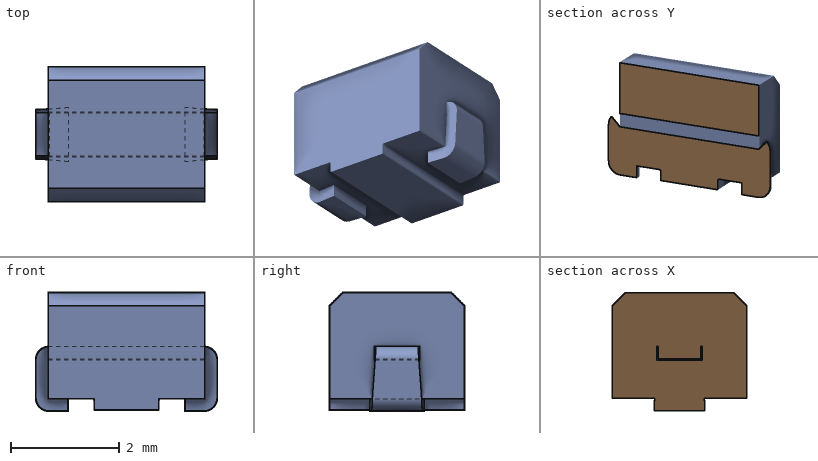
import cadquery as cq
import math

body_length = 2.9
body_width = 2.5
body_top = 2.2
roof_chamfer = 0.25
pedestal_length = 1.2
pedestal_bottom = 0.02
edge_radius = 0.02

overall_length = 3.36
strip_thickness = (overall_length - body_length) / 2
bend_inner_radius = edge_radius
bend_outer_radius = bend_inner_radius + strip_thickness
strip_top = 1.2
foot_length = 0.6

slot_width = 0.84
strip_width = 0.8
leg_top_width = 0.81
leg_bottom_width = 0.91
foot_root_width = 0.94
foot_tip_width = 1.0

body_end = body_length / 2
body_bottom = strip_thickness
lead_end = overall_length / 2
bend_x = lead_end - bend_outer_radius
foot_tip_x = lead_end - foot_length
upper_bend_z = strip_top - bend_outer_radius
lower_bend_z = bend_outer_radius
taper_start_angle = 45


def make_body():
    """Block with chamfered long roof edges, a central pedestal and a through slot for the strip."""
    half_pedestal = pedestal_length / 2
    block = (
        cq.Workplane("XZ")
        .moveTo(-body_end, body_top)
        .lineTo(-body_end, body_bottom)
        .lineTo(-half_pedestal, body_bottom)
        .lineTo(-half_pedestal, pedestal_bottom)
        .lineTo(half_pedestal, pedestal_bottom)
        .lineTo(half_pedestal, body_bottom)
        .lineTo(body_end, body_bottom)
        .lineTo(body_end, body_top)
        .close()
        .extrude(body_width / 2, both=True)
    )
    body = block.edges("|Y").edges("not >Z").fillet(edge_radius)
    body = body.faces(">Z").edges("|X").chamfer(roof_chamfer)
    slot_height = strip_top - upper_bend_z
    slot = cq.Workplane("XY").box(body_length, slot_width, slot_height, centered=(True, True, False))
    return body.cut(slot.translate((0, 0, upper_bend_z)))


def tapered_bar(start, direction, normal, length, start_width, end_width):
    """Flat bar of strip thickness along direction, its width changing steadily from end to end."""
    plane = cq.Plane(origin=start, xDir=direction, normal=normal)
    outline = [
        (0, -start_width / 2),
        (length, -end_width / 2),
        (length, end_width / 2),
        (0, start_width / 2),
    ]
    return cq.Workplane(plane).polyline(outline).close().extrude(strip_thickness)


def radial_edge(center_z, angle, side, width):
    """Ends of a line on one side of the lead, running out across both bend radii at an angle."""
    outward_x = math.cos(math.radians(angle))
    outward_z = math.sin(math.radians(angle))
    return [
        cq.Vector(bend_x + reach * outward_x, side * width / 2, center_z + reach * outward_z)
        for reach in (bend_inner_radius / 2, 2 * bend_outer_radius)
    ]


def flat_face(corners):
    """Planar face through the given corners."""
    return cq.Face.makeFromWires(cq.Wire.makePolygon(corners, close=True))


def ruled_face(first_line, second_line):
    """Face swept by a straight line moving from one line to another."""
    return cq.Face.makeRuledSurface(cq.Edge.makeLine(*first_line), cq.Edge.makeLine(*second_line))


def bend_sector(center_z, start_angle, end_angle, start_width, end_width):
    """Sector of a bend about a Y axis, with side faces ruled between its two end widths."""
    start_front, start_back = [radial_edge(center_z, start_angle, side, start_width) for side in (-1, 1)]
    end_front, end_back = [radial_edge(center_z, end_angle, side, end_width) for side in (-1, 1)]
    faces = [
        flat_face(start_front + start_back[::-1]),
        flat_face(end_front + end_back[::-1]),
        ruled_face(start_front, end_front),
        ruled_face(start_back, end_back),
    ]
    for inner_or_outer in range(2):
        outline = [line[inner_or_outer] for line in (start_front, start_back, end_back, end_front)]
        faces.append(flat_face(outline))
    wedge = cq.Solid.makeSolid(cq.Shell.makeShell(faces))
    ring = (
        cq.Workplane("XZ", origin=(bend_x, foot_tip_width / 2, center_z))
        .circle(bend_outer_radius)
        .circle(bend_inner_radius)
        .extrude(foot_tip_width)
    )
    return ring.intersect(cq.Workplane(wedge))


def make_lead():
    """Lead at the +X end: upper bend, widening leg, lower bend and the foot under the body."""
    upper_bend = bend_sector(upper_bend_z, 90, taper_start_angle, strip_width, strip_width)
    widening_bend = bend_sector(upper_bend_z, taper_start_angle, 0, strip_width, leg_top_width)
    leg = tapered_bar(
        (body_end, 0, upper_bend_z),
        (0, 0, -1),
        (1, 0, 0),
        upper_bend_z - lower_bend_z,
        leg_top_width,
        leg_bottom_width,
    )
    lower_bend = bend_sector(lower_bend_z, 0, -90, leg_bottom_width, foot_root_width)
    foot = tapered_bar(
        (bend_x, 0, 0),
        (-1, 0, 0),
        (0, 0, 1),
        bend_x - foot_tip_x,
        foot_root_width,
        foot_tip_width,
    )
    return upper_bend.union(widening_bend).union(leg).union(lower_bend).union(foot)


def make_strip():
    """Straight run of the terminal strip through the slot, between the two upper bends."""
    run = cq.Workplane("XY").box(2 * bend_x, strip_width, strip_thickness, centered=(True, True, False))
    return run.translate((0, 0, strip_top - strip_thickness))


lead = make_lead()
result = make_body().union(make_strip()).union(lead).union(lead.mirror("YZ")).clean()